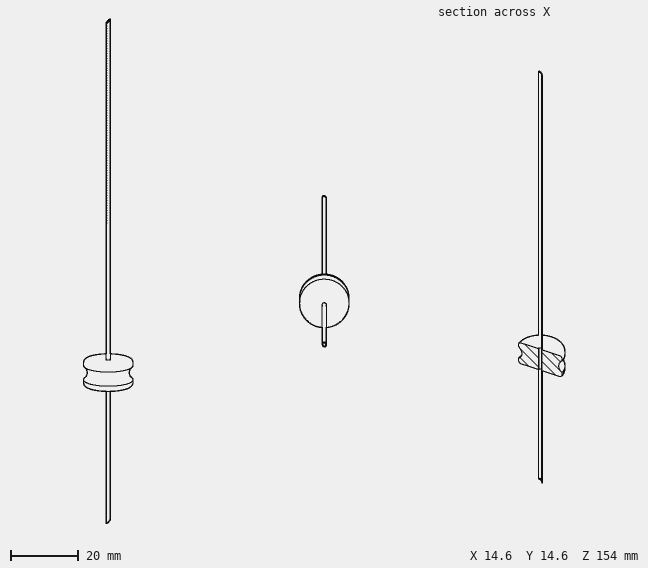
import cadquery as cq
import math

NEEDLE_LENGTH = 154.0
NEEDLE_DIAMETER = 1.25
BORE_DIAMETER = 0.8
TIP_ANGLE = 45.0

HUB_DIAMETER = 14.6
HUB_HEIGHT = 8.0
HUB_BOTTOM = 42.0
RIM_ROUND = 1.0
RIM_BAND = 1.0
GROOVE_DEPTH = 1.1

needle_radius = NEEDLE_DIAMETER / 2
hub_radius = HUB_DIAMETER / 2
half_height = HUB_HEIGHT / 2
hub_center_z = -NEEDLE_LENGTH / 2 + HUB_BOTTOM + half_height
sin_45 = math.sin(math.radians(45))


def make_needle():
    """Tube whose two tips are parallel slants, the upper one facing -Y."""
    half_length = NEEDLE_LENGTH / 2
    tip_rise = NEEDLE_DIAMETER * math.tan(math.radians(TIP_ANGLE))
    tube = (
        cq.Workplane("XY", origin=(0, 0, -half_length))
        .circle(needle_radius)
        .circle(BORE_DIAMETER / 2)
        .extrude(NEEDLE_LENGTH)
    )
    slanted_envelope = (
        cq.Workplane("YZ")
        .polyline([
            (-needle_radius, -half_length),
            (needle_radius, -half_length + tip_rise),
            (needle_radius, half_length),
            (-needle_radius, half_length - tip_rise),
        ])
        .close()
        .extrude(needle_radius, both=True)
    )
    return tube.intersect(slanted_envelope)


def make_hub():
    """Disc with rounded rims, an arc-shaped groove between them and a hole for the needle."""
    band_top = half_height - RIM_ROUND
    band_bottom = band_top - RIM_BAND
    neck_radius = hub_radius - GROOVE_DEPTH

    corner_r = hub_radius - RIM_ROUND * (1 - sin_45)
    corner_z = band_top + RIM_ROUND * sin_45
    profile = (
        cq.Workplane("XZ", origin=(0, 0, hub_center_z))
        .moveTo(needle_radius, half_height)
        .lineTo(hub_radius - RIM_ROUND, half_height)
        .threePointArc((corner_r, corner_z), (hub_radius, band_top))
        .lineTo(hub_radius, band_bottom)
        .threePointArc((neck_radius, 0), (hub_radius, -band_bottom))
        .lineTo(hub_radius, -band_top)
        .threePointArc((corner_r, -corner_z), (hub_radius - RIM_ROUND, -half_height))
        .lineTo(needle_radius, -half_height)
        .close()
    )
    return profile.revolve(360, (0, 0, 0), (0, 1, 0))


needle = make_needle()
hub = make_hub()

result = cq.Compound.makeCompound([needle.val(), hub.val()])